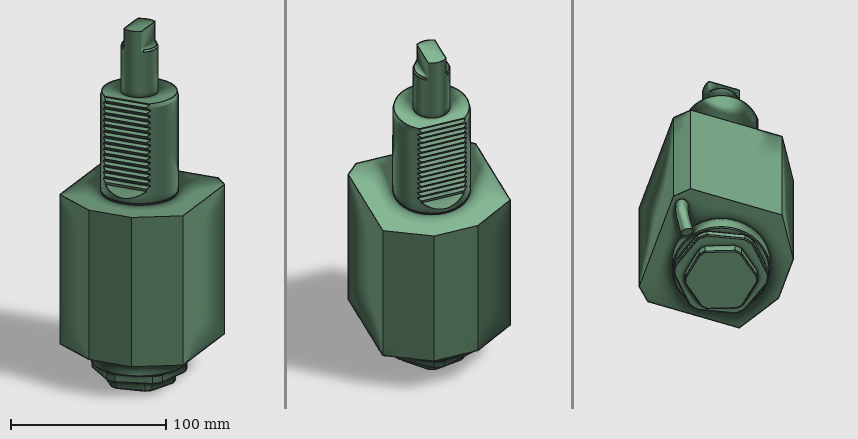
import cadquery as cq
import math


body_width = 88.0
body_height = 103.0
half_width = body_width / 2
rear_chamfer = 8.8
front_face_half_width = 15.1
front_slant_depth = 17.0

shank_diameter = 50.0
shank_radius = shank_diameter / 2
shank_height = 69.5
shank_chamfer_height = 3.0
shank_chamfer_width = 0.7
undercut_diameter = 49.0
undercut_height = 1.2
valley_count = 15
first_to_last_valley = 56.2
tooth_pitch = first_to_last_valley / (valley_count - 1)
tooth_crest = 20.3
tooth_valley = 18.5
tooth_depth = tooth_crest - tooth_valley
tooth_flat = tooth_pitch / 2 - tooth_depth
first_valley_depth = 0.5
run_out_gap = 1.2
run_out_height = 5.4

total_height = 244.2
lower_stack_height = 26.1
spindle_diameter = 24.0
spindle_radius = spindle_diameter / 2
spindle_top = total_height - body_height - lower_stack_height
tang_width = 12.5
tang_height = 13.0
tang_base_fillet = 1.05
tang_edge_fillet = 0.85
shoulder_chamfer_height = 1.5
shoulder_chamfer_width = 0.7

flange_diameter = 63.0
flange_height = 12.7
flange_top_chamfer = 1.2
flange_bottom_chamfer = 0.7
hexagon_sides = 6
large_nut_height = 6.0
large_nut_flats = 56.0
large_nut_corner_diameter = 61.0
large_nut_turn = 18.0
small_nut_height = lower_stack_height - flange_height - large_nut_height
small_nut_flats = 42.7
small_nut_corner_diameter = 47.0
small_nut_turn = 10.0
nut_chamfer = 0.7

pipe_x = -31.0
pipe_y = 37.0
pipe_diameter = 8.0
pipe_straight_length = 5.9
pipe_bend_radius = 18.5
pipe_bend_angle = 30.0
pipe_tip_length = 10.3
pipe_heading = -45.0

body_bottom = -body_height


def revolve_profile(profile):
    """Revolve a closed (radius, z) profile about the part axis."""
    return cq.Workplane("XZ").polyline(profile).close().revolve(360, (0, 0), (0, 1))


def make_body():
    right_side = [
        (half_width - rear_chamfer, half_width),
        (half_width, half_width - rear_chamfer),
        (half_width, front_slant_depth - half_width),
        (front_face_half_width, -half_width),
    ]
    left_side = [(-x, y) for x, y in reversed(right_side)]
    outline = cq.Workplane("XY").workplane(offset=body_bottom).polyline(right_side + left_side)
    return outline.close().extrude(body_height)


def make_tooth_cutter():
    """Prism that leaves the toothed flat and the sloped run-out at its lower end."""
    clear = -2 * shank_radius
    cutter_top = shank_height + tooth_pitch
    first_valley_z = shank_height - first_valley_depth
    points = [(clear, cutter_top), (-tooth_valley, cutter_top)]
    for i in range(valley_count):
        valley_z = first_valley_z - i * tooth_pitch
        crest_z = valley_z - tooth_pitch / 2
        points.append((-tooth_valley, valley_z + tooth_flat / 2))
        points.append((-tooth_valley, valley_z - tooth_flat / 2))
        points.append((-tooth_crest, crest_z + tooth_flat / 2))
        points.append((-tooth_crest, crest_z - tooth_flat / 2))
    run_out_top = points[-1][1] - run_out_gap
    run_out_slope = (shank_radius - tooth_crest) / run_out_height
    run_out_bottom = run_out_top - (-tooth_crest - clear) / run_out_slope
    points += [(-tooth_crest, run_out_top), (clear, run_out_bottom)]
    return cq.Workplane("YZ").polyline(points).close().extrude(shank_radius, both=True)


def make_shank():
    profile = [
        (0, 0),
        (undercut_diameter / 2, 0),
        (undercut_diameter / 2, undercut_height),
        (shank_radius, undercut_height),
        (shank_radius, shank_height - shank_chamfer_height),
        (shank_radius - shank_chamfer_width, shank_height),
        (0, shank_height),
    ]
    return revolve_profile(profile).cut(make_tooth_cutter())


def make_spindle():
    shoulder_z = spindle_top - tang_height
    profile = [
        (0, shank_height),
        (spindle_radius, shank_height),
        (spindle_radius, shoulder_z - shoulder_chamfer_height),
        (spindle_radius - shoulder_chamfer_width, shoulder_z),
        (0, shoulder_z),
    ]
    lower = revolve_profile(profile)
    cylinder = cq.Workplane("XY").workplane(offset=shank_height).circle(spindle_radius)
    cylinder = cylinder.extrude(spindle_top - shank_height)

    half = tang_width / 2
    foot = half + tang_base_fillet
    fillet_top = shoulder_z + tang_base_fillet
    reach = tang_base_fillet * (1 - math.sqrt(0.5))
    section = (
        cq.Workplane("XZ")
        .moveTo(-foot, shank_height)
        .lineTo(foot, shank_height)
        .lineTo(foot, shoulder_z)
        .threePointArc((half + reach, shoulder_z + reach), (half, fillet_top))
        .lineTo(half, spindle_top)
        .lineTo(-half, spindle_top)
        .lineTo(-half, fillet_top)
        .threePointArc((-half - reach, shoulder_z + reach), (-foot, shoulder_z))
        .close()
        .extrude(spindle_radius, both=True)
    )
    tang = section.intersect(cylinder)
    edge_y = math.sqrt(spindle_radius**2 - half**2)
    corners = [(x, y, (fillet_top + spindle_top) / 2) for x in (-half, half) for y in (-edge_y, edge_y)]
    for corner in corners:
        tang = tang.edges(cq.NearestToPointSelector(corner)).fillet(tang_edge_fillet)
    return lower.union(tang)


def make_flange():
    flange = cq.Workplane("XY").workplane(offset=body_bottom).circle(flange_diameter / 2)
    flange = flange.extrude(-flange_height)
    flange = flange.faces(">Z").chamfer(flange_top_chamfer)
    return flange.faces("<Z").chamfer(flange_bottom_chamfer)


def make_nut(top_z, height, flats, corner_diameter, turn):
    """Hexagon whose corners are rounded off by the corner diameter."""
    plane = cq.Workplane("XY").workplane(offset=top_z - height)
    hexagon = plane.polygon(hexagon_sides, flats / math.cos(math.pi / hexagon_sides)).extrude(height)
    hexagon = hexagon.rotate((0, 0, 0), (0, 0, 1), turn)
    return hexagon.intersect(plane.circle(corner_diameter / 2).extrude(height))


def make_large_nut():
    top_z = body_bottom - flange_height
    nut = make_nut(top_z, large_nut_height, large_nut_flats, large_nut_corner_diameter, large_nut_turn)
    return nut.faces("|Z").chamfer(nut_chamfer)


def make_small_nut():
    top_z = body_bottom - flange_height - large_nut_height
    nut = make_nut(top_z, small_nut_height, small_nut_flats, small_nut_corner_diameter, small_nut_turn)
    return nut.faces("<Z").chamfer(nut_chamfer)


def make_pipe():
    """Pipe that leaves the body straight down and then bends towards the part axis."""
    bend = math.radians(pipe_bend_angle)

    def bend_point(angle):
        sideways = pipe_bend_radius * (1 - math.cos(angle))
        return (sideways, -pipe_straight_length - pipe_bend_radius * math.sin(angle))

    bend_end = bend_point(bend)
    tip = (bend_end[0] + pipe_tip_length * math.sin(bend), bend_end[1] - pipe_tip_length * math.cos(bend))
    path = (
        cq.Workplane("XZ")
        .lineTo(0, -pipe_straight_length)
        .threePointArc(bend_point(bend / 2), bend_end)
        .lineTo(*tip)
    )
    pipe = cq.Workplane("XY").circle(pipe_diameter / 2).sweep(path)
    pipe = pipe.rotate((0, 0, 0), (0, 0, 1), pipe_heading)
    return pipe.translate((pipe_x, pipe_y, body_bottom))


result = make_body()
for piece in (make_shank(), make_spindle(), make_flange(), make_large_nut(), make_small_nut(), make_pipe()):
    result = result.union(piece)